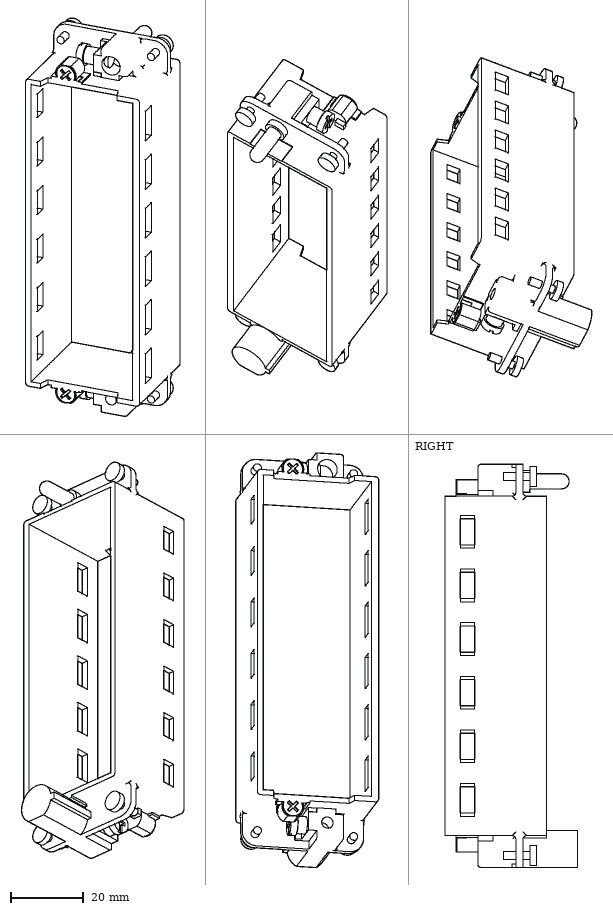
import cadquery as cq
import math

frame_width = 34.2
frame_depth = 28.0
end_outer_z = 46.7
end_inner_z = 45.2
left_wall = 1.7
right_wall = 2.05
corner_radius = 1.0
half_width = frame_width / 2

flange_height = 111.0
flange_top = flange_height / 2
flange_front = 19.5
flange_thickness = 2.0
flange_rear = flange_front + flange_thickness
flange_corner_radius = 4.0
root_radius = 1.0

window_count = 6
window_pitch = 14.75
window_width = 3.9
window_y = 6.2
left_window_height = 7.15
right_window_height = 9.0

recess_depth = 3.0
recess_left_x = -12.6
recess_right_x = 10.3
recess_slope_run = 0.9

guide_x = 4.6
guide_z = 50.75

pin_radius = 2.1
pin_tip_y = 34.2
collar_radius = 3.0
collar_thickness = 1.9

bush_radius = 5.5
bush_rear_y = 36.5
bush_key_height = 2.0
bush_key_x = -2.1
web_left_x = -0.7
web_right_x = 9.7
web_height = 0.7
web_clearance_depth = 0.3

block_left_x = 1.65
block_right_x = 9.36
block_front_y = 9.05
block_edge_radius = 0.95
clamp_left_x = -0.7
clamp_top_z = 53.2
clamp_bottom_z = 47.9
clamp_rear_y = 18.1
clamp_base_front_y = 9.3
block_foot_front_y = 13.2
block_undercut_left_x = 7.0
block_undercut_top_z = 48.2
back_pad_left_x = -2.4
upper_bore_diameter = 5.5
lower_bore_diameter = 3.2
bore_depth = 6.0
bore_cone_depth = 1.2

clamp_screw_y = 13.0
clamp_head_diameter = 6.0
clamp_head_height = 2.0
clamp_shank_diameter = 4.8
clamp_shank_end_x = 3.0
upper_clamp_head_x = -6.35
lower_clamp_head_x = -5.4
driver_slot_width = 1.0
driver_slot_length = 3.3
driver_slot_depth = 0.6

earth_x = -6.4
earth_z = 48.5
earth_radius = 3.1
earth_flat_height = 2.75
earth_head_radius = 2.75
earth_head_height = 0.3
earth_pad_rear_y = 6.0
earth_pad_left_x = -10.7
earth_pad_right_x = -2.5
earth_pad_top_z = 47.4
earth_shoulder_right_x = -1.6
earth_shoulder_top_z = 47.2
earth_tab_right_x = -6.7
earth_tab_rear_y = 10.4
earth_slot_width = 0.7
earth_slot_length = 3.6
earth_slot_angles = (45, 135)

mount_screw_x = 13.55
mount_screw_z = 52.1
mount_shank_diameter = 2.2
mount_head_diameter = 5.5
mount_tip_y = 16.1
mount_head_front_y = 23.4
mount_head_rear_y = 25.2


def box(x0, x1, y0, y1, z0, z1):
    """Box between two opposite corners."""
    return cq.Workplane("XY").box(x1 - x0, y1 - y0, z1 - z0, centered=False).translate((x0, y0, z0))


def rod_y(x, z, radius, y0, y1):
    """Round bar along Y from y0 to y1."""
    return cq.Workplane("XZ", origin=(x, y0, z)).circle(radius).extrude(y0 - y1)


def rod_x(y, z, radius, x0, x1):
    """Round bar along X from x0 to x1."""
    return cq.Workplane("YZ", origin=(x0, y, z)).circle(radius).extrude(x1 - x0)


def mirrored_down(part):
    """The same shape at the lower end of the frame."""
    return part.mirror("XY")


def make_shell():
    """Open box with both flanges, hollow from front to rear."""
    outer = box(-half_width, half_width, 0, frame_depth, -end_outer_z, end_outer_z)
    flange = box(-half_width, half_width, flange_front, flange_rear, -flange_top, flange_top)
    shell = outer.edges("|Y").fillet(corner_radius).union(flange.edges("|Y").fillet(flange_corner_radius))
    return shell.union(root_fillets()).cut(
        box(-half_width + left_wall, half_width - right_wall, 0, frame_depth, -end_inner_z, end_inner_z)
    )


def root_fillets():
    """Concave fillets between the flanges and the end walls, on both faces of each flange."""
    bend = root_radius * (1 - math.sqrt(0.5))
    upper = (
        cq.Workplane("YZ", origin=(-half_width, 0, 0))
        .moveTo(flange_front, end_outer_z + root_radius)
        .threePointArc(
            (flange_front - bend, end_outer_z + bend),
            (flange_front - root_radius, end_outer_z),
        )
        .lineTo(flange_front, end_outer_z - corner_radius)
        .lineTo(flange_rear, end_outer_z - corner_radius)
        .lineTo(flange_rear + root_radius, end_outer_z)
        .threePointArc(
            (flange_rear + bend, end_outer_z + bend),
            (flange_rear, end_outer_z + root_radius),
        )
        .close()
        .extrude(frame_width)
    )
    return upper.union(mirrored_down(upper))


def window_row(x0, x1, height):
    first_z = -window_pitch * (window_count - 1) / 2
    row = cq.Workplane("XY")
    for i in range(window_count):
        z = first_z + i * window_pitch
        row = row.add(
            box(x0, x1, window_y - window_width / 2, window_y + window_width / 2,
                z - height / 2, z + height / 2)
        )
    return row.combine()


def end_recess():
    """Trapezoid cut through the front edge of both end walls."""
    return (
        cq.Workplane("XY", origin=(0, 0, -end_outer_z))
        .polyline([
            (recess_left_x, 0),
            (recess_right_x, 0),
            (recess_right_x - recess_slope_run, recess_depth),
            (recess_left_x + recess_slope_run, recess_depth),
        ])
        .close()
        .extrude(2 * end_outer_z)
    )


def terminal_block():
    """Upper terminal block with its clamp block, pad and concave root fillets."""
    body = box(block_left_x, block_right_x, block_front_y, flange_front, end_outer_z, flange_top)
    body = body.edges("|Y and >X and >Z").fillet(block_edge_radius)
    body = body.faces("<Y").edges(">Z").fillet(block_edge_radius)
    clamp = box(clamp_left_x, block_left_x, block_front_y, clamp_rear_y, clamp_bottom_z, clamp_top_z)
    base = box(clamp_left_x, block_left_x, clamp_base_front_y, clamp_rear_y, end_outer_z, clamp_bottom_z)
    undercut = box(block_undercut_left_x, block_right_x, block_front_y, block_foot_front_y,
                   end_outer_z, block_undercut_top_z)
    back_pad = box(back_pad_left_x, block_left_x, clamp_rear_y, flange_front, end_outer_z, clamp_top_z)
    side_fillet = (
        box(block_right_x, block_right_x + root_radius, flange_front - root_radius, flange_front,
            end_outer_z, flange_top)
        .cut(
            cq.Workplane("XY", origin=(block_right_x + root_radius, flange_front - root_radius, end_outer_z))
            .circle(root_radius)
            .extrude(flange_top - end_outer_z)
        )
    )
    foot_length = flange_front - block_foot_front_y
    foot_centre = (block_right_x + root_radius, block_foot_front_y, end_outer_z + root_radius)
    foot_fillet = box(block_right_x, block_right_x + root_radius, block_foot_front_y, flange_front,
                      end_outer_z, end_outer_z + root_radius)
    foot_fillet = foot_fillet.cut(
        cq.Workplane("XZ", origin=foot_centre)
        .circle(root_radius)
        .extrude(-foot_length)
    )
    body = body.cut(undercut).union(clamp).union(base)
    return body.union(back_pad).union(side_fillet).union(foot_fillet)


def guide_bore(diameter):
    """Blind hole with a conical bottom in the front of the upper terminal block."""
    radius = diameter / 2
    return (
        cq.Workplane("XY", origin=(guide_x, block_front_y, guide_z))
        .polyline([(0, 0), (radius, 0), (radius, bore_depth), (0, bore_depth + bore_cone_depth)])
        .close()
        .revolve(360, (0, 0, 0), (0, 1, 0))
    )


def clamp_screw(head_x):
    head_end_x = head_x + clamp_head_height
    head = rod_x(clamp_screw_y, guide_z, clamp_head_diameter / 2, head_x, head_end_x)
    shank = rod_x(clamp_screw_y, guide_z, clamp_shank_diameter / 2, head_end_x, clamp_shank_end_x)
    slot_half = driver_slot_width / 2
    slot_end_x = head_x + driver_slot_depth
    tall_slot = box(head_x, slot_end_x, clamp_screw_y - slot_half, clamp_screw_y + slot_half,
                    guide_z - clamp_head_diameter / 2, guide_z + clamp_head_diameter / 2)
    short_slot = box(head_x, slot_end_x, clamp_screw_y - driver_slot_length / 2,
                     clamp_screw_y + driver_slot_length / 2, guide_z - slot_half, guide_z + slot_half)
    return head.cut(tall_slot).cut(short_slot).union(shank)


def earth_screw():
    """Screw head on a flat-topped round boss, with the pad, shoulder and tab that carry it."""
    boss_front_y = recess_depth + earth_head_height
    head = rod_y(earth_x, earth_z, earth_head_radius, recess_depth, boss_front_y)
    boss = rod_y(earth_x, earth_z, earth_radius, boss_front_y, block_front_y)
    boss = boss.cut(
        box(earth_x - earth_radius, earth_x + earth_radius, boss_front_y, block_front_y,
            earth_z + earth_flat_height, earth_z + earth_radius)
    )
    pad = box(earth_pad_left_x, earth_pad_right_x, recess_depth, earth_pad_rear_y,
              end_inner_z, earth_pad_top_z)
    shoulder = box(earth_x, earth_shoulder_right_x, recess_depth, block_front_y,
                   end_inner_z, earth_shoulder_top_z)
    tab = box(earth_x - earth_radius, earth_tab_right_x, block_front_y, earth_tab_rear_y,
              end_inner_z, earth_z)
    screw = boss.union(head).union(pad).union(shoulder).union(tab)
    for angle in earth_slot_angles:
        slot = (
            cq.Workplane("XY")
            .box(earth_slot_length, 2 * driver_slot_depth, earth_slot_width)
            .rotate((0, 0, 0), (0, 1, 0), angle)
            .translate((earth_x, recess_depth, earth_z))
        )
        screw = screw.cut(slot)
    return screw


def mount_screw(x, z):
    shank = rod_y(x, z, mount_shank_diameter / 2, mount_tip_y, mount_head_front_y)
    return shank.union(rod_y(x, z, mount_head_diameter / 2, mount_head_front_y, mount_head_rear_y))


def guide_bush():
    """Bush on the lower flange, cut level with the flange edge, with a side key and a web."""
    bush = rod_y(guide_x, -guide_z, bush_radius, flange_rear, bush_rear_y)
    key = box(bush_key_x, guide_x, flange_rear, bush_rear_y,
              -guide_z - bush_key_height / 2, -guide_z + bush_key_height / 2)
    web = box(web_left_x, web_right_x, flange_rear, frame_depth, -end_outer_z - web_height, -end_outer_z)
    below = box(guide_x - bush_radius, guide_x + bush_radius, flange_rear, bush_rear_y,
                -guide_z - bush_radius, -flange_top)
    return bush.cut(below).union(key).union(web)


def make_frame():
    frame = make_shell()
    frame = frame.cut(window_row(-half_width, -half_width + left_wall, left_window_height))
    frame = frame.cut(window_row(half_width - right_wall, half_width, right_window_height))
    frame = frame.cut(end_recess())
    frame = frame.cut(
        box(web_left_x, web_right_x, flange_rear + root_radius, frame_depth,
            end_outer_z - web_clearance_depth, end_outer_z)
    )
    ends = (
        (upper_bore_diameter, upper_clamp_head_x, False),
        (lower_bore_diameter, lower_clamp_head_x, True),
    )
    for bore_diameter, head_x, at_lower_end in ends:
        fittings = terminal_block().cut(guide_bore(bore_diameter))
        fittings = fittings.union(clamp_screw(head_x)).union(earth_screw())
        frame = frame.union(mirrored_down(fittings) if at_lower_end else fittings)
    for x in (-mount_screw_x, mount_screw_x):
        for z in (-mount_screw_z, mount_screw_z):
            frame = frame.union(mount_screw(x, z))
    return frame.union(guide_bush())


def make_guide_pin():
    """Round-ended pin whose collar stands on the rear face of the upper flange."""
    collar = rod_y(guide_x, guide_z, collar_radius, flange_rear, flange_rear + collar_thickness)
    shank = rod_y(guide_x, guide_z, pin_radius, flange_rear, pin_tip_y - pin_radius)
    tip = cq.Workplane("XY").sphere(pin_radius).translate((guide_x, pin_tip_y - pin_radius, guide_z))
    return collar.union(shank).union(tip)


frame = make_frame()
guide_pin = make_guide_pin()
result = cq.Compound.makeCompound([frame.solids().val(), guide_pin.solids().val()])